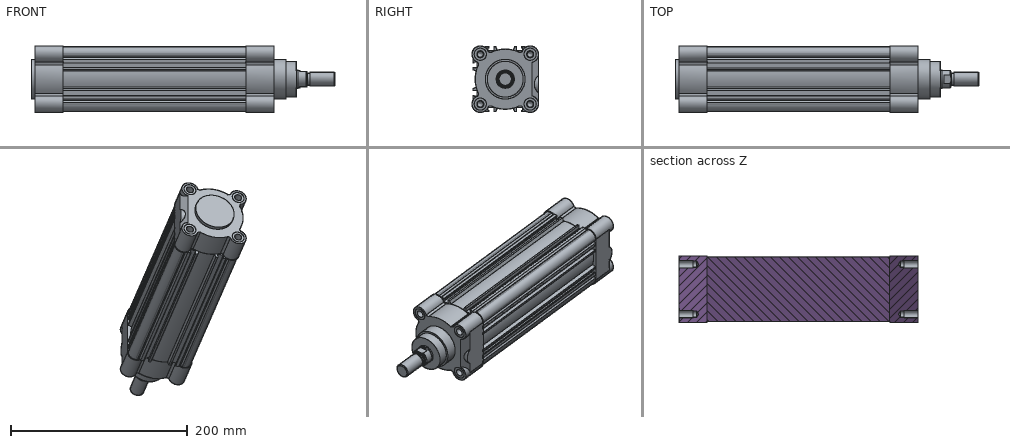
import cadquery as cq
import math


pilot_length = 4.0
cap_length = 32.0
tube_length = 207.0
rear_cap_start = pilot_length
tube_start = rear_cap_start + cap_length
front_cap_start = tube_start + tube_length
front_cap_end = front_cap_start + cap_length

pilot_radius = 22.5
screw_spacing = 56.5
corner_boss_radius = 9.5
cap_body_radius = 34.2
cap_square_offset = 31.2
cap_groove_floor = 30.2
cap_groove_radius = 4.2
cap_groove_position = 16.5
port_side_offset = 37.78
cap_half_width = screw_spacing / 2 + corner_boss_radius
port_slope_start = 30.3
port_slope_angle = 44.0
port_boss_radius = 11.8
port_boss_inset = 14.5
port_boss_drop = 5.7

screw_recess_radius = 6.9
screw_recess_depth = 0.2
core_radius = 3.4
core_depth = 20.0
screw_thread_radius = 4.0
screw_thread_depth = 16.0
drill_half_angle = 59.0
core_tip_length = core_radius / math.tan(math.radians(drill_half_angle))

collar_length = 13.5
neck_radius = 20.3
neck_length = 11.5
collar_end = front_cap_end + collar_length
neck_end = collar_end + neck_length

tube_half_width = 36.75
tube_corner_radius = tube_half_width - screw_spacing / 2
tube_barrel_radius = 34.0
notch_position = 24.3
notch_half_width = 2.0
notch_depth = 1.7
slot_floor = 32.2
slot_inner = 12.95
slot_outer = 18.5
slot_undercut = 19.3
slot_lip_bottom = 35.3
rib_top_inner = 10.7
rib_base_inner = 9.0
cut_clearance = 1.0

rod_radius = 10.0
rod_tip = 344.0
thread_radius = 8.0
thread_chamfer = 1.0
thread_start = 315.5
rod_shoulder = 312.0
rod_shoulder_chamfer = 1.0
undercut_radius = 6.9
undercut_taper = 0.5
flat_start = 304.2
flat_width = 17.4
wiper_length = 2.0
wiper_radius = 10.3


def cylinder_x(radius, start, end, y=0.0, z=0.0):
    """Cylinder parallel to X from start to end."""
    return cq.Workplane("YZ", origin=(start, y, z)).circle(radius).extrude(end - start)


def block_x(width_y, width_z, start, end):
    """Centred rectangular bar parallel to X from start to end."""
    return cq.Workplane("YZ", origin=(start, 0, 0)).rect(width_y, width_z).extrude(end - start)


def corners():
    """Centres of the four screws in the YZ plane."""
    half = screw_spacing / 2
    return [(y, z) for y in (-half, half) for z in (-half, half)]


def screw_hole():
    """Shallow recess with a threaded blind hole, entering a face at x = 0 toward +X."""
    profile = [
        (0, 0),
        (0, screw_recess_radius),
        (screw_recess_depth, screw_recess_radius),
        (screw_recess_depth, screw_thread_radius),
        (screw_thread_depth, screw_thread_radius),
        (screw_thread_depth, core_radius),
        (core_depth, core_radius),
        (core_depth + core_tip_length, 0),
    ]
    return cq.Workplane("XY").polyline(profile).close().revolve(360, (0, 0, 0), (1, 0, 0))


def port_side():
    """Port pad on the +Y side: a slope up from the outer face, and the round port boss on it."""
    rise = port_side_offset - port_slope_start
    slope_length = rise / math.tan(math.radians(port_slope_angle))
    pad = (
        cq.Workplane("XY", origin=(0, 0, -screw_spacing / 2))
        .moveTo(0, 0)
        .lineTo(0, port_slope_start)
        .lineTo(slope_length, port_side_offset)
        .lineTo(cap_length, port_side_offset)
        .lineTo(cap_length, 0)
        .close()
        .extrude(screw_spacing)
    )
    boss = (
        cq.Workplane("XZ", origin=(port_boss_inset, 0, -port_boss_drop))
        .circle(port_boss_radius)
        .extrude(-port_side_offset)
    )
    return pad.union(boss)


def grooved_square():
    """Square core of a cap, with a rounded groove beside each corner boss."""
    square = block_x(2 * cap_square_offset, 2 * cap_square_offset, 0, cap_length)
    groove_axis = cap_groove_floor + cap_groove_radius
    for side in (-1, 1):
        for position in (-cap_groove_position, cap_groove_position):
            square = square.cut(cylinder_x(cap_groove_radius, 0, cap_length, side * groove_axis, position))
            square = square.cut(cylinder_x(cap_groove_radius, 0, cap_length, position, side * groove_axis))
    return square


def cap_body():
    """End cap with its outer face at x = 0, extending toward +X."""
    body = grooved_square().union(cylinder_x(cap_body_radius, 0, cap_length))
    trim_width = 4 * cap_half_width
    trim = block_x(trim_width, trim_width, 0, cap_length)
    body = body.cut(trim.translate((0, port_slope_start + trim_width / 2, 0)))
    body = body.union(port_side())
    for y, z in corners():
        body = body.union(cylinder_x(corner_boss_radius, 0, cap_length, y, z))
    for y, z in corners():
        body = body.cut(screw_hole().translate((0, y, z)))
    return body


def make_rear_cap():
    """Rear cap with its round pilot."""
    cap = cap_body().translate((rear_cap_start, 0, 0))
    return cap.union(cylinder_x(pilot_radius, 0, rear_cap_start))


def make_front_cap():
    """Front cap with its stepped collar and wiper lip, bored through for the rod."""
    cap = cap_body().mirror("YZ").translate((front_cap_end, 0, 0))
    cap = cap.union(cylinder_x(pilot_radius, front_cap_end, collar_end))
    cap = cap.union(cylinder_x(neck_radius, collar_end, neck_end))
    cap = cap.union(cylinder_x(wiper_radius, neck_end, neck_end + wiper_length))
    return cap.cut(cylinder_x(rod_radius, front_cap_start, rod_tip))


def side_cutter():
    """Everything cut from the +Z side of the tube: barrel relief, two slots and two notches."""
    above = tube_half_width + cut_clearance
    barrel_edge = math.sqrt(tube_barrel_radius**2 - rib_base_inner**2)
    relief = (
        cq.Workplane("YZ", origin=(tube_start, 0, 0))
        .moveTo(-rib_base_inner, barrel_edge)
        .threePointArc((0, tube_barrel_radius), (rib_base_inner, barrel_edge))
        .lineTo(rib_top_inner, tube_half_width)
        .lineTo(rib_top_inner, above)
        .lineTo(-rib_top_inner, above)
        .lineTo(-rib_top_inner, tube_half_width)
        .close()
        .extrude(tube_length)
    )
    slot_outline = [
        (slot_inner, above),
        (slot_inner, slot_floor),
        (slot_undercut, slot_floor),
        (slot_undercut, slot_lip_bottom),
        (slot_outer, slot_lip_bottom),
        (slot_outer, above),
    ]
    notch_outline = [
        (notch_position - notch_half_width, tube_half_width),
        (notch_position, tube_half_width - notch_depth),
        (notch_position + notch_half_width, tube_half_width),
    ]
    cutter = relief
    profile_plane = cq.Workplane("YZ", origin=(tube_start, 0, 0))
    for outline in (slot_outline, notch_outline):
        groove = profile_plane.polyline(outline).close().extrude(tube_length)
        cutter = cutter.union(groove).union(groove.mirror("XZ"))
    return cutter


def make_tube():
    """Square profile tube with the same grooves on all four sides."""
    width = 2 * tube_half_width
    tube = block_x(width, width, tube_start, front_cap_start).edges("|X").fillet(tube_corner_radius)
    cutter = side_cutter()
    for quarter in range(4):
        tube = tube.cut(cutter.rotate((0, 0, 0), (1, 0, 0), 90 * quarter))
    return tube


def make_rod():
    """Rod turned about X, with two wrench flats facing +Z and -Z behind its shoulder."""
    chamfer_radius = rod_radius - rod_shoulder_chamfer
    profile = [
        (front_cap_start, 0),
        (front_cap_start, rod_radius),
        (rod_shoulder - rod_shoulder_chamfer, rod_radius),
        (rod_shoulder, chamfer_radius),
        (rod_shoulder, thread_radius),
        (rod_shoulder + undercut_taper, undercut_radius),
        (thread_start, undercut_radius),
        (thread_start, thread_radius),
        (rod_tip - thread_chamfer, thread_radius),
        (rod_tip, thread_radius - thread_chamfer),
        (rod_tip, 0),
    ]
    rod = cq.Workplane("XY").polyline(profile).close().revolve(360, (0, 0, 0), (1, 0, 0))
    flats = block_x(2 * rod_radius, flat_width, flat_start, rod_tip)
    behind_flats = block_x(2 * rod_radius, 2 * rod_radius, front_cap_start, flat_start)
    return rod.intersect(flats.union(behind_flats))


rear_cap = make_rear_cap()
tube = make_tube()
front_cap = make_front_cap()
rod = make_rod()

result = cq.Compound.makeCompound([rear_cap.val(), tube.val(), front_cap.val(), rod.val()])